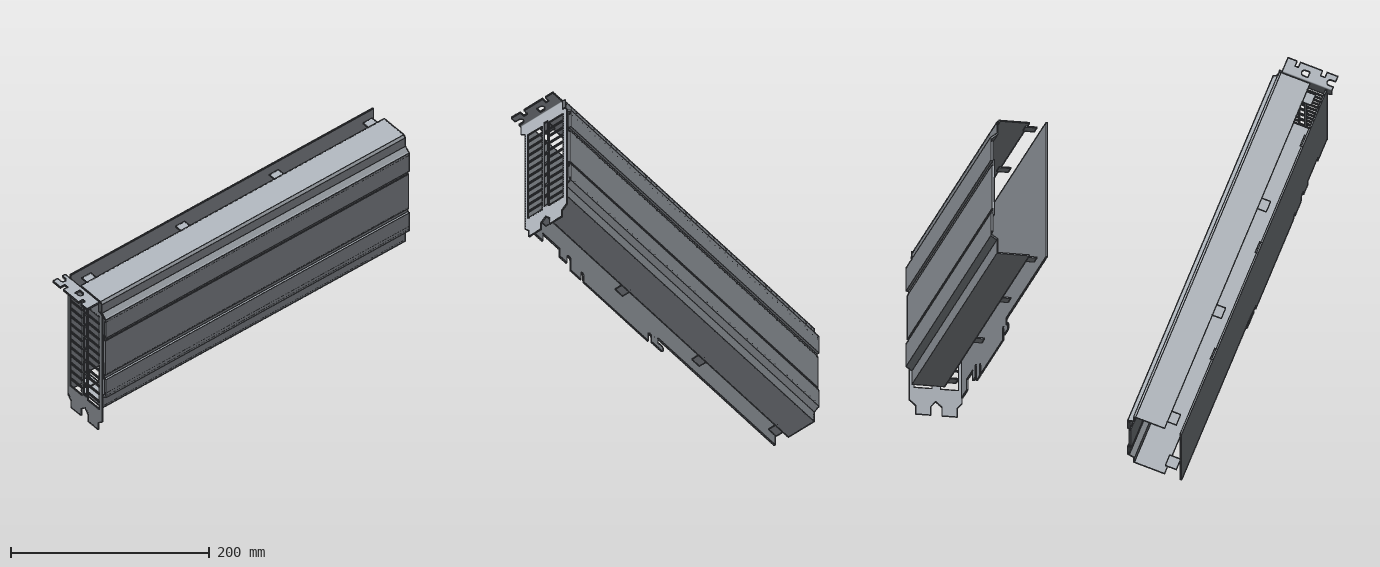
import cadquery as cq


card_length = 412.5
card_height = 175.3

plate_back_y = 16.5
plate_thickness = 1.2
plate_front_y = plate_back_y - plate_thickness
plate_left_x = 5.0
plate_right_x = 59.5
bracket_top_z = 174.0
head_right_x = 57.0
head_bottom_z = 161.3
neck_z = 158.0
foot_width = 15.5
left_foot_x = 10.0
right_foot_x = 37.0
foot_shoulder_z = 9.0
foot_chamfer_top_z = 15.0

flange_right_x = 54.0
flange_thickness = 2.0
flange_bottom_z = bracket_top_z - flange_thickness
bend_inner_radius = 1.0
bend_outer_radius = 1.2
rebate_depth = 0.5
screw_slot_width = 6.0
screw_slot_y = 9.0
open_slot_end_x = 8.0
closed_slot_start_x = 27.5
closed_slot_end_x = 35.5
edge_notch_depth = 5.8
wide_notch_x = 11.5
wide_notch_width = 5.0
narrow_notch_x = 40.5
narrow_notch_width = 3.7

wide_columns_x = (8.5, 36.0)
wide_window_width = 18.5
wide_column_base_z = 28.5
wide_column_height = 125.8
wide_window_count = 12
wide_window_bar = 1.2
narrow_column_x = 29.5
narrow_window_width = 5.0
narrow_column_base_z = 31.5
narrow_column_height = 126.0
narrow_window_count = 8
narrow_window_bar = 2.5
notch_peak_x = narrow_column_x + narrow_window_width / 2

board_left_x = 4.5
board_thickness = 1.5
board_start_y = 18.0
board_bottom_z = 31.8
lug_bottom_z = 20.2
end_lug_back_y = 43.0
inner_lug_front_y = 70.0
inner_lug_back_y = 81.2
lug_recess_z = 31.5
finger_tip_z = 14.0
finger_front_y = 87.5
finger_back_y = 210.5
key_front_y = 103.5
key_back_y = 107.5
key_side_z = 24.0
lug_gap_side_z = 29.3
hook_gap_side_z = 24.7
bevel_height = 7.5
bevel_depth = 0.5

hook_front_y = 215.5
hook_neck_y = 226.0
hook_nose_y = 234.2
hook_bottom_z = 17.5
hook_shelf_z = 24.7
hook_chamfer = 2.0
hook_slope_end_z = 24.7
hook_recess_depth = 0.5

shroud_start_y = 17.5
shroud_sheet = 1.2
shroud_left_x = 23.0
shroud_top_z = 174.0
shroud_bottom_z = 31.0
wall_x = 57.0
wall_bevel = 2.5
upper_slope_top_z = 160.0
upper_slope_bottom_z = 156.0
lower_slope_top_z = 49.5
lower_slope_bottom_z = 45.5
bulge_x = 63.0
bulge_crest_bevel = 1.2
band_x = 62.0
groove_x = 60.5
upper_groove_top_z = 130.5
lower_groove_bottom_z = 74.0
groove_height = 5.0
liner_margin = 5.0

tab_count = 4
tab_pitch = 122.0
tab_first_y = 32.0
tab_width = 12.0
tab_tip_x = 13.5
tab_inset = 1.2
tab_overlap = 2.5


def bracket_outline():
    """Face of the bracket plate, in X and Z."""
    left_foot_end_x = left_foot_x + foot_width
    right_foot_end_x = right_foot_x + foot_width
    return [
        (0, bracket_top_z),
        (0, head_bottom_z),
        (plate_left_x, neck_z),
        (plate_left_x, foot_chamfer_top_z),
        (left_foot_x, foot_shoulder_z),
        (left_foot_x, 0),
        (left_foot_end_x, 0),
        (left_foot_end_x, foot_shoulder_z),
        (notch_peak_x, foot_chamfer_top_z),
        (right_foot_x, foot_shoulder_z),
        (right_foot_x, 0),
        (right_foot_end_x, 0),
        (right_foot_end_x, foot_shoulder_z),
        (plate_right_x, foot_chamfer_top_z),
        (plate_right_x, neck_z),
        (head_right_x, head_bottom_z),
        (head_right_x, bracket_top_z),
    ]


def plate_with_flange():
    plate = (
        cq.Workplane("XZ", origin=(0, plate_back_y, 0))
        .polyline(bracket_outline())
        .close()
        .extrude(plate_thickness)
    )
    flange = (
        cq.Workplane("XY", origin=(0, 0, flange_bottom_z))
        .rect(flange_right_x, plate_back_y, centered=False)
        .extrude(flange_thickness)
    )
    inner_bend = cq.selectors.NearestToPointSelector((flange_right_x / 2, plate_front_y, flange_bottom_z))
    outer_bend = cq.selectors.NearestToPointSelector((flange_right_x / 2, plate_back_y, bracket_top_z))
    folded = plate.union(flange)
    folded = folded.edges(inner_bend).fillet(bend_inner_radius)
    return folded.edges(outer_bend).fillet(bend_outer_radius)


def head_rebate():
    """Shallow step in the front of the plate, beside and below the end of the flange."""
    return (
        cq.Workplane("XY", origin=(flange_right_x, plate_front_y, head_bottom_z))
        .rect(head_right_x - flange_right_x, rebate_depth, centered=False)
        .extrude(bracket_top_z - head_bottom_z)
    )


def window_column(left_x, base_z, width, height, count, bar):
    """Cutter for a column of equal windows with bars between them."""
    pitch = (height + bar) / count
    centres = [(left_x + width / 2, base_z - bar / 2 + (row + 0.5) * pitch) for row in range(count)]
    return (
        cq.Workplane("XZ", origin=(0, plate_back_y, 0))
        .pushPoints(centres)
        .rect(width, pitch - bar)
        .extrude(plate_thickness)
    )


def flange_opening(left_x, right_x, front_y, back_y):
    return (
        cq.Workplane("XY", origin=(left_x, front_y, flange_bottom_z))
        .rect(right_x - left_x, back_y - front_y, centered=False)
        .extrude(flange_thickness)
    )


def screw_slot(start_x, end_x):
    """Cutter for a slot with a square start and a round end."""
    radius = screw_slot_width / 2
    centre_x = end_x - radius
    straight = flange_opening(start_x, centre_x, screw_slot_y - radius, screw_slot_y + radius)
    round_end = (
        cq.Workplane("XY", origin=(centre_x, screw_slot_y, flange_bottom_z))
        .circle(radius)
        .extrude(flange_thickness)
    )
    return straight.union(round_end)


def make_bracket():
    bracket = plate_with_flange().cut(head_rebate())
    for left_x in wide_columns_x:
        bracket = bracket.cut(
            window_column(left_x, wide_column_base_z, wide_window_width,
                          wide_column_height, wide_window_count, wide_window_bar)
        )
    bracket = bracket.cut(
        window_column(narrow_column_x, narrow_column_base_z, narrow_window_width,
                      narrow_column_height, narrow_window_count, narrow_window_bar)
    )
    bracket = bracket.cut(screw_slot(0, open_slot_end_x))
    bracket = bracket.cut(screw_slot(closed_slot_start_x, closed_slot_end_x))
    for left_x, width in ((wide_notch_x, wide_notch_width), (narrow_notch_x, narrow_notch_width)):
        bracket = bracket.cut(flange_opening(left_x, left_x + width, 0, edge_notch_depth))
    return bracket


def round_gap(outline, back_y, front_y, side_z):
    """Continue the outline over a gap with a half-round top, from its back side to its front side."""
    radius = (back_y - front_y) / 2
    return (
        outline.lineTo(back_y, side_z)
        .threePointArc((back_y - radius, side_z + radius), (front_y, side_z))
    )


def board_outline():
    """Outline in Y and Z, from the far top corner along the lower edge to the bracket."""
    outline = (
        cq.Workplane("YZ", origin=(board_left_x, 0, 0))
        .moveTo(card_length, card_height)
        .lineTo(card_length, board_bottom_z)
        .lineTo(hook_neck_y, board_bottom_z)
        .lineTo(hook_neck_y, hook_shelf_z)
        .lineTo(hook_nose_y - hook_chamfer, hook_shelf_z)
        .lineTo(hook_nose_y, hook_shelf_z - hook_chamfer)
        .lineTo(hook_nose_y, hook_bottom_z + hook_chamfer)
        .lineTo(hook_nose_y - hook_chamfer, hook_bottom_z)
        .lineTo(hook_front_y, hook_bottom_z)
    )
    outline = round_gap(outline, hook_front_y, finger_back_y, hook_gap_side_z)
    outline = outline.lineTo(finger_back_y, finger_tip_z).lineTo(key_back_y, finger_tip_z)
    outline = round_gap(outline, key_back_y, key_front_y, key_side_z)
    outline = outline.lineTo(key_front_y, finger_tip_z).lineTo(finger_front_y, finger_tip_z)
    outline = round_gap(outline, finger_front_y, inner_lug_back_y, lug_gap_side_z)
    return (
        outline.lineTo(inner_lug_back_y, lug_bottom_z)
        .lineTo(inner_lug_front_y, lug_bottom_z)
        .lineTo(inner_lug_front_y, lug_recess_z)
        .lineTo(end_lug_back_y, lug_recess_z)
        .lineTo(end_lug_back_y, lug_bottom_z)
        .lineTo(board_start_y, lug_bottom_z)
        .lineTo(board_start_y, card_height)
        .close()
    )


def finger_bevel():
    """Wedge that thins the tip of the edge connector."""
    return (
        cq.Workplane("XZ", origin=(0, finger_back_y, 0))
        .moveTo(board_left_x, finger_tip_z + bevel_height)
        .lineTo(board_left_x, finger_tip_z)
        .lineTo(board_left_x + bevel_depth, finger_tip_z)
        .close()
        .extrude(finger_back_y - finger_front_y)
    )


def hook_recess():
    """Thin cut over the face of the hook, below a sloping line."""
    return (
        cq.Workplane("YZ", origin=(board_left_x, 0, 0))
        .moveTo(hook_neck_y, board_bottom_z)
        .lineTo(finger_back_y, hook_slope_end_z)
        .lineTo(finger_back_y, hook_bottom_z)
        .lineTo(hook_nose_y, hook_bottom_z)
        .lineTo(hook_nose_y, board_bottom_z)
        .close()
        .extrude(hook_recess_depth)
    )


def make_board():
    return board_outline().extrude(board_thickness).cut(finger_bevel()).cut(hook_recess())


def shroud_outline():
    """Section of the bent sheet in X and Z: top, stepped side wall and bottom, open toward the board."""
    upper_groove_bottom_z = upper_groove_top_z - groove_height
    lower_groove_top_z = lower_groove_bottom_z + groove_height
    outside = [
        (shroud_left_x, shroud_top_z),
        (wall_x - wall_bevel, shroud_top_z),
        (wall_x, shroud_top_z - wall_bevel),
        (wall_x, upper_slope_top_z),
        (bulge_x - bulge_crest_bevel, upper_slope_bottom_z),
        (bulge_x, upper_slope_bottom_z - bulge_crest_bevel / 2),
        (bulge_x, upper_groove_top_z),
        (groove_x, upper_groove_top_z),
        (groove_x, upper_groove_bottom_z),
        (band_x, upper_groove_bottom_z),
        (band_x, lower_groove_top_z),
        (groove_x, lower_groove_top_z),
        (groove_x, lower_groove_bottom_z),
        (bulge_x, lower_groove_bottom_z),
        (bulge_x, lower_slope_top_z),
        (wall_x, lower_slope_bottom_z),
        (wall_x, shroud_bottom_z),
        (shroud_left_x, shroud_bottom_z),
    ]
    inner_wall_x = wall_x - shroud_sheet
    inner_bulge_x = bulge_x - shroud_sheet
    liner_x = bulge_x - 2 * shroud_sheet
    inner_groove_x = groove_x - shroud_sheet
    inner_top_z = shroud_top_z - shroud_sheet
    inner_bottom_z = shroud_bottom_z + shroud_sheet
    liner_top_z = upper_slope_bottom_z - liner_margin
    liner_bottom_z = lower_slope_top_z + liner_margin
    inside = [
        (shroud_left_x, inner_bottom_z),
        (inner_wall_x, inner_bottom_z),
        (inner_wall_x, lower_slope_bottom_z + shroud_sheet),
        (inner_bulge_x, lower_slope_top_z + shroud_sheet),
        (inner_bulge_x, liner_bottom_z),
        (liner_x, liner_bottom_z),
        (liner_x, lower_groove_bottom_z - shroud_sheet),
        (inner_groove_x, lower_groove_bottom_z - shroud_sheet),
        (inner_groove_x, upper_groove_top_z + shroud_sheet),
        (liner_x, upper_groove_top_z + shroud_sheet),
        (liner_x, liner_top_z),
        (inner_bulge_x, liner_top_z),
        (inner_bulge_x, upper_slope_bottom_z - 2 * shroud_sheet),
        (inner_wall_x, upper_slope_top_z - shroud_sheet),
        (inner_wall_x, inner_top_z - wall_bevel),
        (inner_wall_x - wall_bevel, inner_top_z),
        (shroud_left_x, inner_top_z),
    ]
    return outside + inside


def tab_row(bottom_z):
    """Row of flat tabs that reach toward the board from one edge of the shroud."""
    tab_length = shroud_left_x + tab_overlap - tab_tip_x
    tab_centres = [
        (tab_tip_x + tab_length / 2, tab_first_y + index * tab_pitch) for index in range(tab_count)
    ]
    return (
        cq.Workplane("XY", origin=(0, 0, bottom_z))
        .pushPoints(tab_centres)
        .rect(tab_length, tab_width)
        .extrude(shroud_sheet)
    )


def make_shroud():
    sheet = (
        cq.Workplane("XZ", origin=(0, card_length, 0))
        .polyline(shroud_outline())
        .close()
        .extrude(card_length - shroud_start_y)
    )
    top_tabs = tab_row(shroud_top_z - shroud_sheet - tab_inset)
    bottom_tabs = tab_row(shroud_bottom_z + tab_inset)
    return sheet.union(top_tabs).union(bottom_tabs)


bracket = make_bracket()
board = make_board()
shroud = make_shroud()
result = cq.Compound.makeCompound([bracket.val(), board.val(), shroud.val()])